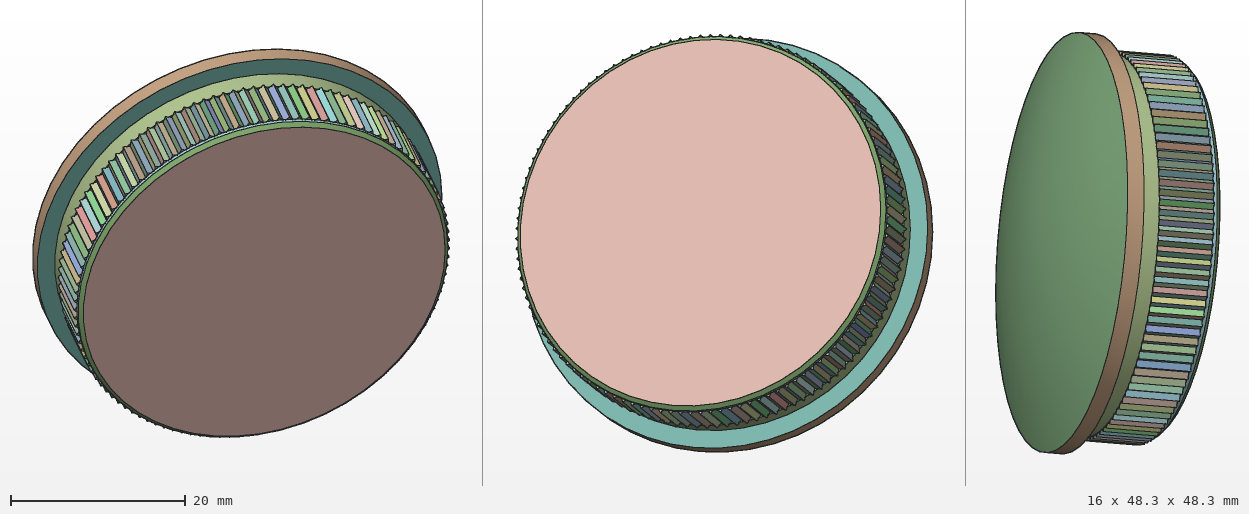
import cadquery as cq
import math

head_radius = 24.15
dome_height = 4.0
head_thickness = 2.0

plug_radius = 22.05
neck_length = 2.5
tip_length = 0.9
tip_chamfer = 0.5

knurl_length = 6.55
knurl_crest_radius = 22.4
tooth_count = 117
half_pitch = math.pi / tooth_count
groove_half_angle = math.radians(45)
knurl_root_radius = knurl_crest_radius * (
    math.cos(half_pitch) - math.sin(half_pitch) / math.tan(groove_half_angle)
)

head_front_x = dome_height
head_back_x = head_front_x + head_thickness
knurl_start_x = head_back_x + neck_length
knurl_end_x = knurl_start_x + knurl_length
end_x = knurl_end_x + tip_length


def dome_arc_middle():
    """Point halfway along the spherical dome's arc, between its apex and the head edge."""
    sphere_radius = (head_radius**2 + dome_height**2) / (2 * dome_height)
    half_angle = math.asin(head_radius / sphere_radius) / 2
    return (
        sphere_radius * (1 - math.cos(half_angle)),
        sphere_radius * math.sin(half_angle),
    )


def turned_section(points):
    """Revolve a half outline of (x, radius) points around the X axis."""
    outline = cq.Workplane("XY").polyline(points).close()
    return outline.revolve(360, (0, 0, 0), (1, 0, 0))


def domed_head():
    """Rim disc whose front face bulges as a spherical cap."""
    outline = (
        cq.Workplane("XY")
        .moveTo(0, 0)
        .threePointArc(dome_arc_middle(), (head_front_x, head_radius))
        .lineTo(head_back_x, head_radius)
        .lineTo(head_back_x, 0)
        .close()
    )
    return outline.revolve(360, (0, 0, 0), (1, 0, 0))


def neck():
    """Smooth cylinder between the head and the knurled band."""
    return turned_section([
        (head_back_x, 0),
        (head_back_x, plug_radius),
        (knurl_start_x, plug_radius),
        (knurl_start_x, 0),
    ])


def chamfered_tip():
    """Smooth collar behind the knurled band, chamfered at its free end."""
    return turned_section([
        (knurl_end_x, 0),
        (knurl_end_x, plug_radius),
        (end_x - tip_chamfer, plug_radius),
        (end_x, plug_radius - tip_chamfer),
        (end_x, 0),
    ])


def polar_point(radius, angle):
    return (radius * math.cos(angle), radius * math.sin(angle))


def knurled_band():
    """Straight knurl: a ring of pointed teeth, one aimed along -Y, extruded along X."""
    points = []
    for tooth in range(tooth_count):
        crest_angle = math.pi + 2 * half_pitch * tooth
        root_angle = crest_angle + half_pitch
        points.append(polar_point(knurl_crest_radius, crest_angle))
        points.append(polar_point(knurl_root_radius, root_angle))
    band = cq.Workplane("YZ", origin=(knurl_start_x, 0, 0)).polyline(points).close()
    return band.extrude(knurl_length)


result = domed_head().union(neck()).union(knurled_band()).union(chamfered_tip())